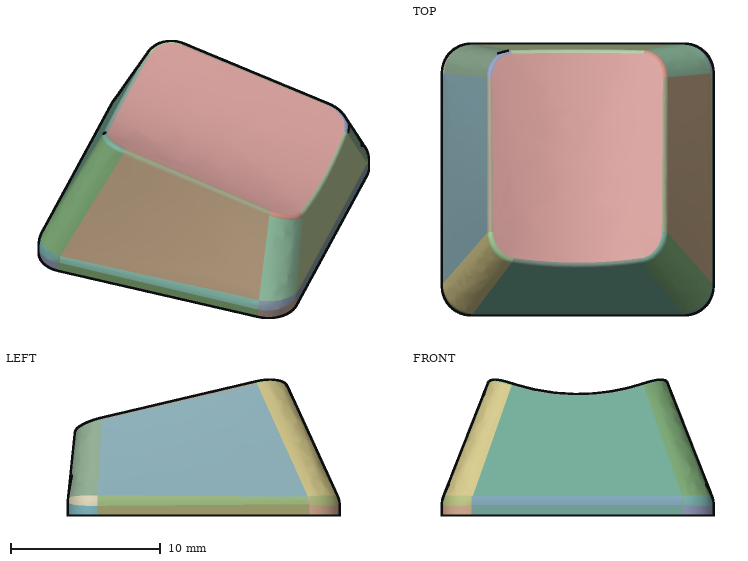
import cadquery as cq
import math

BASE_SIZE = 18.16
BASE_CORNER_RADIUS = 2.0
SKIRT_HEIGHT = 1.0
SHOULDER_RADIUS = 1.4
SHOULDER_TOLERANCE = 0.01

TOP_TILT = 14.0
TOP_WIDTH = 11.6
TOP_LENGTH = 14.0
TOP_CORNER_RADIUS = 1.8
TOP_CENTER_Y = 1.73
TOP_CENTER_Z = 8.09

DISH_WIDTH = 13.0
DISH_LENGTH = TOP_LENGTH + 2.0
DISH_FRONT_DEPTH = 1.78
DISH_BACK_DEPTH = 1.1
DISH_HEADROOM = 3.0
RIM_RADIUS = 0.3


def rounded_rectangle(width, length, radius):
    return cq.Sketch().rect(width, length).vertices().fillet(radius)


def tilted_top_plane():
    tilt = math.radians(TOP_TILT)
    return cq.Plane(
        origin=(0, TOP_CENTER_Y, TOP_CENTER_Z),
        xDir=(1, 0, 0),
        normal=(0, math.sin(tilt), math.cos(tilt)),
    )


def make_skirt():
    outline = rounded_rectangle(BASE_SIZE, BASE_SIZE, BASE_CORNER_RADIUS)
    return cq.Workplane("XY").placeSketch(outline).extrude(SKIRT_HEIGHT)


def make_tapered_body():
    shoulder = rounded_rectangle(BASE_SIZE, BASE_SIZE, BASE_CORNER_RADIUS)
    top = rounded_rectangle(TOP_WIDTH, TOP_LENGTH, TOP_CORNER_RADIUS)
    top_location = cq.Location(tilted_top_plane())
    shoulder_location = cq.Location(cq.Vector(0, 0, SKIRT_HEIGHT))
    sections = (shoulder.moved(shoulder_location), top.moved(top_location))
    return cq.Workplane("XY").placeSketch(*sections).loft(ruled=True)


def round_shoulder(body):
    return body.edges(
        cq.selectors.BoxSelector(
            (-BASE_SIZE, -BASE_SIZE, SKIRT_HEIGHT - SHOULDER_TOLERANCE),
            (BASE_SIZE, BASE_SIZE, SKIRT_HEIGHT + SHOULDER_TOLERANCE),
        )
    ).fillet(SHOULDER_RADIUS)


def dish_section(depth):
    half_width = DISH_WIDTH / 2
    return (
        cq.Sketch()
        .arc((-half_width, 0), (0, -depth), (half_width, 0))
        .segment((half_width, DISH_HEADROOM))
        .segment((-half_width, DISH_HEADROOM))
        .close()
        .assemble()
    )


def dish_section_location(y_along_top):
    top_plane = tilted_top_plane()
    section_plane = cq.Plane(
        origin=top_plane.toWorldCoords((0, y_along_top, 0)),
        xDir=(1, 0, 0),
        normal=-top_plane.yDir,
    )
    return cq.Location(section_plane)


def make_dish_cutter():
    front = dish_section(DISH_FRONT_DEPTH).moved(dish_section_location(-DISH_LENGTH / 2))
    back = dish_section(DISH_BACK_DEPTH).moved(dish_section_location(DISH_LENGTH / 2))
    return cq.Workplane("XY").placeSketch(front, back).loft(ruled=True)


def round_rim(body):
    return body.faces(">Z").edges().fillet(RIM_RADIUS)


keycap = make_skirt().union(make_tapered_body())
keycap = round_shoulder(keycap)
keycap = keycap.cut(make_dish_cutter())
result = round_rim(keycap)